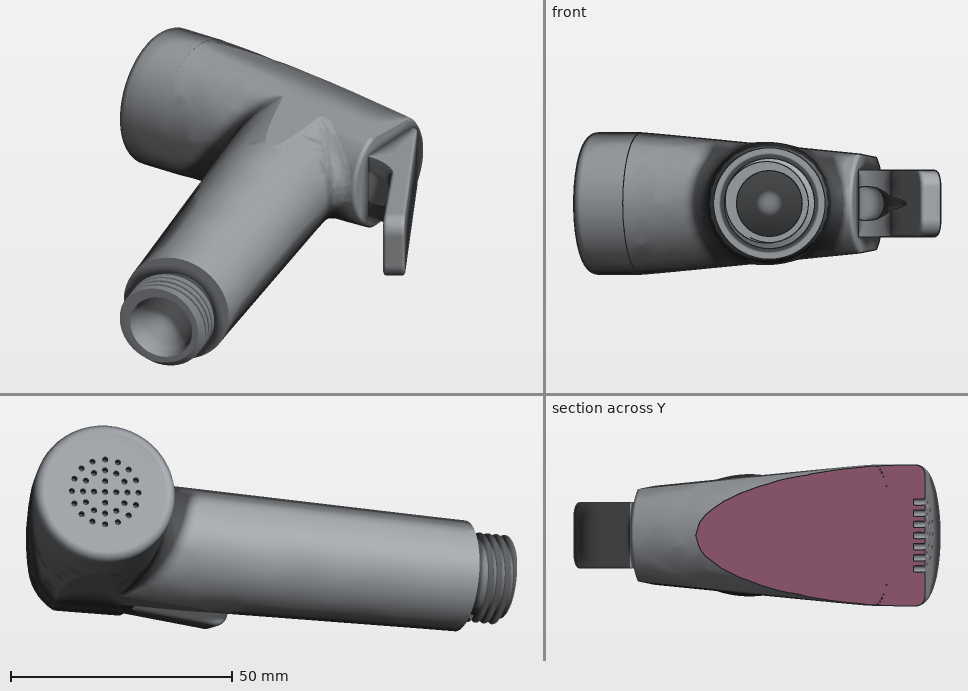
import cadquery as cq
import math


stub_length = 10.1
stub_radius = 8.8
bore_radius = 7.4
thread_pitch = 2.0
thread_height = 1.4
thread_turns = 4.25
thread_top = 7.4
thread_root_width = 1.8
thread_overlap = 0.4

handle_bottom_radius = 12.6
handle_top_radius = 14.4
handle_top = 99.7

head_tilt = 15.0
face_center = (-40.5, 110.9, 0)
head_radius = 16.0
cap_length = 12.0
cap_fillet = 2.0
head_length = 65.8
waist_position = 34.0
waist_top = 14.6
waist_bottom = -16.1
waist_half_width = 15.0
back_top = 11.1
back_bottom = -17.1
back_half_width = 12.3
section_side_flat = 0.06
edge_fillet = 0.9
neck_fillet = 3.8

spray_hole_diameter = 1.4
spray_ring_pitch = 2.5
spray_hole_depth = 2.5
holes_per_ring = (4, 12, 16)

flat_anchor = (-29.0, 108.3, head_radius)
flat_slope_x = 0.11
flat_slope_y = 0.026

lever_root = (23.3, 99.7)
lever_outer_top = (25.9, 99.7)
lever_outer_tip = (38.9, 54.5)
lever_inner_tip = (34.2, 52.9)
lever_elbow = (27.5, 78.3)
lever_web_middle = (24.4, 81.1)
lever_web_end = (20.5, 82.7)
lever_foot = (17.5, 83.7)
lever_width = 15.1
lever_edge_fillet = 0.8
lever_tip_radius = 3.8
relief_base = (22.2, 83.7)
relief_tip = (31.5, 64.8)
relief_radius = 4.2

head_plane = cq.Plane(
    origin=face_center,
    xDir=(math.sin(math.radians(head_tilt)), math.cos(math.radians(head_tilt)), 0),
    normal=(math.cos(math.radians(head_tilt)), -math.sin(math.radians(head_tilt)), 0),
)


def midpoint(first, second):
    """Point halfway between two XY points, on the plane of symmetry."""
    return ((first[0] + second[0]) / 2, (first[1] + second[1]) / 2, 0)


def head_workplane(distance):
    """Workplane across the head axis: local x points up the head, local y along +Z."""
    return cq.Workplane(head_plane).workplane(offset=distance)


def handle_cylinder(radius, bottom, top):
    """Cylinder on the handle axis between two heights along Y."""
    return cq.Workplane("XZ", origin=(0, bottom, 0)).circle(radius).extrude(bottom - top)


def make_handle():
    profile = [
        (0, stub_length),
        (handle_bottom_radius, stub_length),
        (handle_top_radius, handle_top),
        (0, handle_top),
    ]
    return cq.Workplane("XY").polyline(profile).close().revolve(360, (0, 0, 0), (0, 1, 0))


def head_section(distance, top, bottom, half_width):
    """Obround outline across the head axis, reaching from bottom to top."""
    center = (top + bottom) / 2
    return head_workplane(distance).center(center, 0).slot2D(top - bottom, 2 * half_width).wire().val()


def make_head():
    cap = head_workplane(0).circle(head_radius).extrude(cap_length)
    cap = cap.faces("<X").edges().fillet(cap_fillet)
    front = head_section(cap_length, head_radius, -head_radius, head_radius - section_side_flat)
    waist = head_section(waist_position, waist_top, waist_bottom, waist_half_width)
    back = head_section(head_length, back_top, back_bottom, back_half_width)
    body = cq.Workplane(cq.Solid.makeLoft([front, waist, back]))
    body = body.faces(">X").edges().fillet(edge_fillet)
    return cap.union(body)


def make_flat_cutters():
    """Blocks lying outside the two mirrored side flats."""
    size = 2 * head_length
    flat = cq.Plane(origin=flat_anchor, xDir=(1, 0, -flat_slope_x), normal=(flat_slope_x, flat_slope_y, 1))
    block = cq.Workplane(flat).rect(size, size).extrude(size)
    return block.union(block.mirror("XY"))


def make_thread():
    """Right-handed ridge, built around Z and then turned onto the handle axis."""
    rise = thread_turns * thread_pitch
    start = thread_top - rise
    root = stub_radius - thread_overlap
    helix = cq.Wire.makeHelix(thread_pitch, rise, stub_radius, cq.Vector(0, 0, start))
    ridge = (
        cq.Workplane("XZ")
        .moveTo(root, start - thread_root_width / 2)
        .lineTo(stub_radius + thread_height, start)
        .lineTo(root, start + thread_root_width / 2)
        .close()
        .sweep(cq.Workplane(helix), isFrenet=True)
    )
    ridge = ridge.rotate((0, 0, 0), (1, 0, 0), -90)
    return ridge.intersect(handle_cylinder(2 * stub_radius, 0, stub_length))


def make_lever():
    lever = (
        cq.Workplane("XY", origin=(0, 0, -lever_width / 2))
        .moveTo(*lever_root)
        .lineTo(*lever_outer_top)
        .lineTo(*lever_outer_tip)
        .lineTo(*lever_inner_tip)
        .lineTo(*lever_elbow)
        .threePointArc(lever_web_middle, lever_web_end)
        .lineTo(*lever_foot)
        .close()
        .extrude(lever_width)
    )
    tip_face = cq.selectors.NearestToPointSelector(midpoint(lever_outer_tip, lever_inner_tip))
    lever = lever.faces(tip_face).edges("not |Z").fillet(lever_tip_radius)
    outer_face = cq.selectors.NearestToPointSelector(midpoint(lever_outer_top, lever_outer_tip))
    lever = lever.faces(outer_face).edges("not >Y").fillet(lever_edge_fillet)
    inner_face = cq.selectors.NearestToPointSelector(midpoint(lever_elbow, lever_inner_tip))
    return lever.faces(inner_face).edges("not >Y").fillet(lever_edge_fillet)


def make_relief():
    """Conical relief running out along the underside of the lever."""
    run = relief_tip[0] - relief_base[0]
    drop = relief_tip[1] - relief_base[1]
    base = cq.Vector(*relief_base, 0)
    cone = cq.Solid.makeCone(relief_radius, 0, math.hypot(run, drop), base, cq.Vector(run, drop, 0))
    return cq.Workplane(cone)


def make_inlet_bore():
    """Bore up the handle, closed by the rounded underside of the head."""
    bore = handle_cylinder(bore_radius, 0, handle_top)
    return bore.cut(head_workplane(0).circle(head_radius).extrude(head_length))


def make_spray_holes():
    holes = head_workplane(0).circle(spray_hole_diameter / 2).extrude(spray_hole_depth)
    for ring, count in enumerate(holes_per_ring, start=1):
        holes = holes.union(
            head_workplane(0)
            .polarArray(ring * spray_ring_pitch, 0, 360, count)
            .circle(spray_hole_diameter / 2)
            .extrude(spray_hole_depth)
        )
    return holes


def join_head_and_handle():
    """Blend the handle into the underside of the head along the closed neck edge."""
    joined = make_head().union(make_handle())
    around_neck = cq.selectors.BoxSelector(
        (-head_radius, handle_top - 2 * head_radius, -head_radius),
        (head_radius, handle_top, head_radius),
        boundingbox=True,
    )
    return joined.edges(around_neck).fillet(neck_fillet)


body = join_head_and_handle()
body = body.cut(make_flat_cutters())
body = body.union(make_lever().cut(make_relief()))
body = body.union(handle_cylinder(stub_radius, 0, stub_length)).union(make_thread())
result = body.cut(make_inlet_bore()).cut(make_spray_holes())